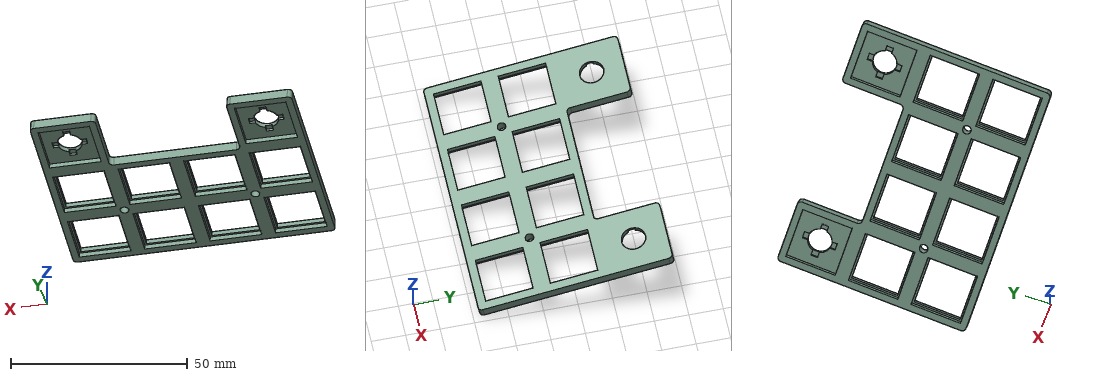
import cadquery as cq
import math

pitch = 19.05
columns = 4
rows = 2

plate_width = columns * pitch
plate_length = (rows + 1) * pitch
notch_width = plate_width - 2 * pitch
notch_depth = pitch
corner_radius = 1.2
tilt_angle = 10.0

overall_height = 12.9
tilt = math.radians(tilt_angle)
plate_thickness = (overall_height - plate_length * math.sin(tilt)) / math.cos(tilt)

opening_side = 13.95
relief_side = 15.0
relief_depth = plate_thickness / 2

tab_hole_diameter = 7.0
slot_width = 2.0
slot_length = 9.9
slot_roof_thickness = 0.8
slot_depth = plate_thickness - slot_roof_thickness

screw_hole_diameter = 2.45

opening_centers = [
    ((column + 0.5) * pitch, (row + 0.5) * pitch)
    for column in range(columns)
    for row in range(rows)
]
tab_centers = [(x, plate_length - pitch / 2) for x in (pitch / 2, plate_width - pitch / 2)]
screw_hole_centers = [(x, rows * pitch / 2) for x in (pitch, plate_width - pitch)]


def make_plate():
    """U-shaped plate with every upright corner rounded."""
    plate = cq.Workplane("XY").box(plate_width, plate_length, plate_thickness, centered=False)
    notch = (
        cq.Workplane("XY")
        .box(notch_width, notch_depth, plate_thickness, centered=False)
        .translate((pitch, plate_length - notch_depth, 0))
    )
    return plate.cut(notch).edges("|Z").fillet(corner_radius)


def make_rectangles(centers, size_x, size_y, depth):
    """Rectangular cutters rising from the underside to the given depth."""
    return cq.Workplane("XY").pushPoints(centers).rect(size_x, size_y).extrude(depth)


def make_cylinders(centers, diameter, depth):
    """Round cutters rising from the underside to the given depth."""
    return cq.Workplane("XY").pushPoints(centers).circle(diameter / 2).extrude(depth)


flat_plate = (
    make_plate()
    .cut(make_rectangles(opening_centers, opening_side, opening_side, plate_thickness))
    .cut(make_rectangles(opening_centers + tab_centers, relief_side, relief_side, relief_depth))
    .cut(make_cylinders(tab_centers, tab_hole_diameter, plate_thickness))
    .cut(make_rectangles(tab_centers, slot_length, slot_width, slot_depth))
    .cut(make_rectangles(tab_centers, slot_width, slot_length, slot_depth))
    .cut(make_cylinders(screw_hole_centers, screw_hole_diameter, plate_thickness))
)

result = flat_plate.rotate((0, 0, 0), (1, 0, 0), tilt_angle)